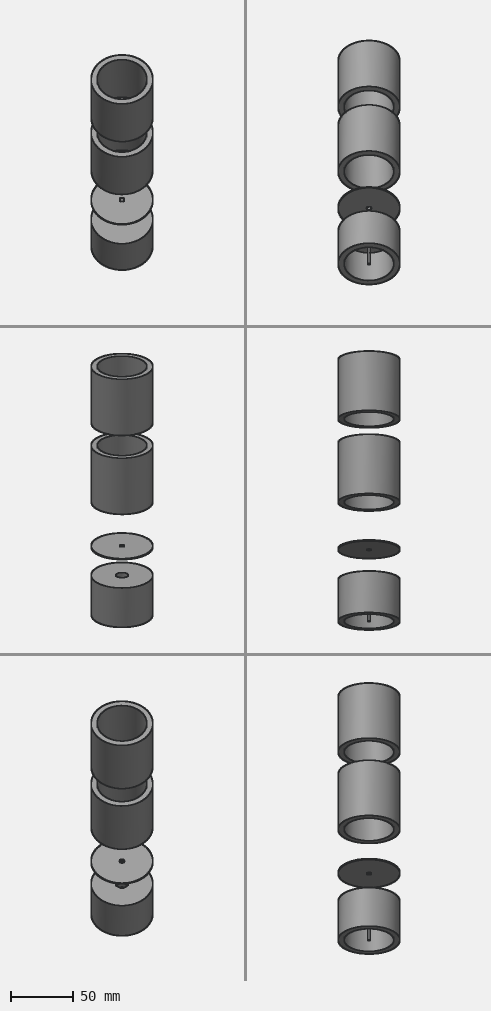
import cadquery as cq

outer_diameter = 50.0
inner_diameter = 40.0

total_height = 220.0
tube_height = 50.0
tube_gap = 20.0
plate_bottom = 60.0
plate_thickness = 1.0
base_height = 35.0

plate_hole_diameter = 4.0
base_hole_diameter = 10.0
base_roof_thickness = 5.0
pin_diameter = 2.0

base_cavity_height = base_height - base_roof_thickness
upper_tube_bottom = total_height - tube_height
lower_tube_bottom = upper_tube_bottom - tube_gap - tube_height


def cylinder(diameter, height, bottom=0.0):
    """Solid cylinder on the Z axis, standing on the given level."""
    return cq.Workplane("XY").workplane(offset=bottom).circle(diameter / 2).extrude(height)


def make_ring(hole_diameter, height, bottom):
    """Full-width disc or tube with a coaxial through hole."""
    body = cylinder(outer_diameter, height, bottom)
    return body.cut(cylinder(hole_diameter, height, bottom))


def make_base():
    """Cup open at the bottom, with a central hole through its roof."""
    body = cylinder(outer_diameter, base_height)
    cavity = cylinder(inner_diameter, base_cavity_height)
    roof_hole = cylinder(base_hole_diameter, base_height)
    return body.cut(cavity).cut(roof_hole)


def make_pin():
    """Thin free-standing pin on the axis, as tall as the base cavity."""
    return cylinder(pin_diameter, base_cavity_height)


tubes = [
    make_ring(inner_diameter, tube_height, bottom).val()
    for bottom in (lower_tube_bottom, upper_tube_bottom)
]
plate = make_ring(plate_hole_diameter, plate_thickness, plate_bottom)
base = make_base()
pin = make_pin()

result = cq.Compound.makeCompound([*tubes, plate.val(), base.val(), pin.val()])